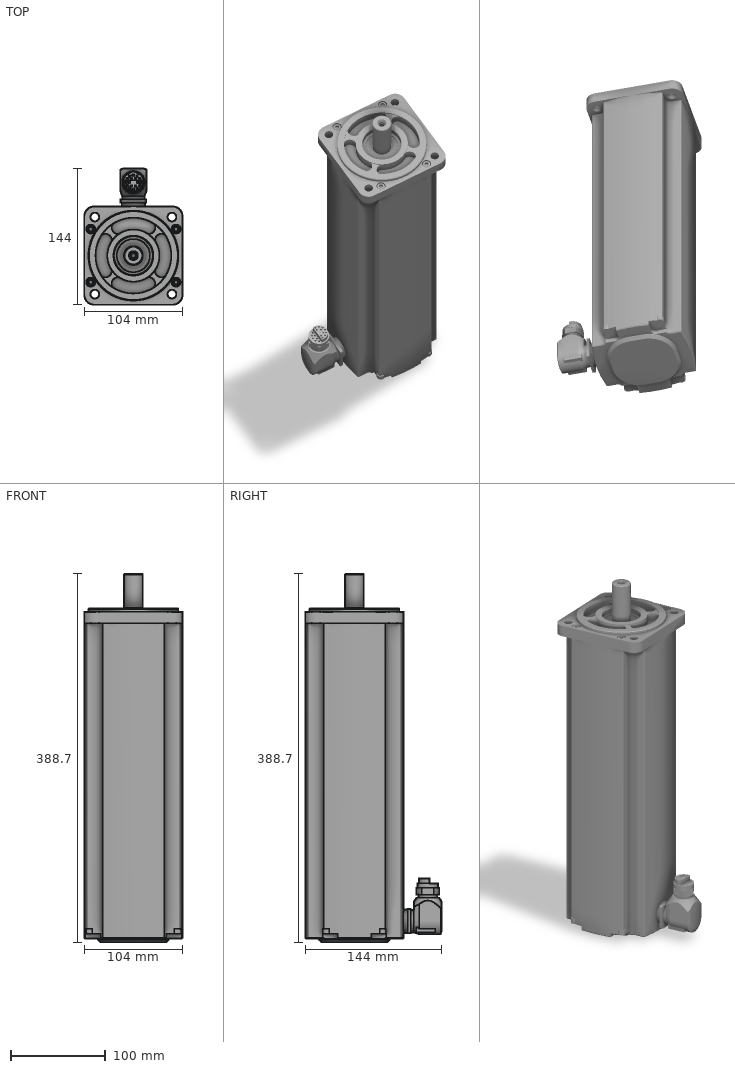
import cadquery as cq
import math

SHAFT_D = 20.0
SHAFT_TOP = 40.0
SHAFT_CHAMFER = 0.7
SHAFT_NECK_D = 19.0
SHAFT_NECK_TOP = 4.5
CENTRE_HOLE_D = 5.1
CENTRE_HOLE_DEPTH = 16.0
CENTRE_SINK_D = 9.5
CENTRE_SINK_ANGLE = 60.0
CENTRE_RECESS_D = 6.4
CENTRE_RECESS_DEPTH = 5.0

FLANGE_SIDE = 104.0
FLANGE_T = 12.0
FLANGE_CORNER_R = 11.0
MOUNT_HOLE_D = 9.0
MOUNT_CIRCLE_D = 115.0
PILOT_D = 95.0
PILOT_H = 3.5
PILOT_CHAMFER = 0.7

POCKET_OUTER_R = 40.0
POCKET_INNER_R = 27.5
POCKET_DEPTH = 10.0
RIB_HALF_ANGLE = 15.0
RIB_NARROWING = 6.0
RIB_EMBED = 0.5
RIB_DROP = 1.0
BORE_D = 41.0
BORE_DEPTH = 6.0
BORE_CHAMFER = 0.6
SEAL_D = 35.0
SEAL_GROOVE_DEPTH = 1.0

OVERALL_LENGTH = 388.7
BODY_HALF = 51.95
BODY_END_CHAMFER = 1.0
LOBE_HALF = 32.3
LOBE_EDGE_R = 1.3
LOBE_EDGE = 48.5
NOTCH_R = 5.7
COVER_H = 4.0
COVER_SIDE = 75.0
COVER_CORNER_R = 30.0
COVER_CHAMFER = 3.0

SCREW_X = 45.0
SCREW_Y = 28.0
SCREW_BORE_D = 9.5
SCREW_BORE_DEPTH = 5.0
SCREW_HEAD_D = 8.5
SCREW_HEAD_H = 4.5
SCREW_SOCKET_D = 4.92
SCREW_SOCKET_DEPTH = 2.5
SCREW_HEAD_CHAMFER = 0.7
REAR_SCREW_X = 46.0
REAR_SCREW_Y = 29.0
REAR_HEAD_H = 5.4
RECESS_H = 5.0
RECESS_HALF = 10.4
RECESS_CORNER_R = 5.0

CONN_Z = -326.3
CONN_Y_END = 92.0
CONN_BODY_W = 27.8
CONN_BODY_Y0 = 62.7
CONN_BODY_TOP = -301.4
CONN_TAPER_LENGTH = 5.8
CONN_TAPER = 2.0
CONN_END_LENGTH = 3.5
CONN_END_TAPER = 1.2
COLLAR_CORNER_R = 1.5
CONN_COLLAR_W = 27.5
CONN_COLLAR_H = 26.0
CONN_COLLAR_Y = (56.0, 59.2)
CONN_BASE_D = 25.0
CONN_NECK_D = 24.0
CONE_TOP_R = 11.8
CONE_BASE_R = 21.0
CONE_SLOPE = 1.46
SIDE_BAR_W = 23.0
SIDE_BAR_Y = (65.0, 85.0)
SIDE_BAR_Z = (-338.0, -332.6)
PLUG_NECK_D = 20.0
NUT_Z = (-298.3, -291.2)
NUT_ACROSS_CORNERS = 24.4
SHELL_D = 21.95
SHELL_TOP = -286.4
INSERT_D = 19.0
INSERT_FLAT_Y = 79.4
INSERT_TOP = -281.2
PIN_HOLE_D = 1.99
PIN_HOLE_DEPTH = 4.0
PIN_RINGS = ((15.0, 12), (9.0, 6))

BODY_TOP = -FLANGE_T
RIB_TOP = PILOT_H - RIB_DROP
COVER_END = SHAFT_TOP - OVERALL_LENGTH
BODY_END = COVER_END + COVER_H
RECESS_TOP = BODY_END + RECESS_H
MOUNT_HALF_PITCH = MOUNT_CIRCLE_D / 2 / math.sqrt(2)
CONN_Y = (CONN_BODY_Y0 + CONN_Y_END) / 2


def four_points(x, y):
    return [(sx * x, sy * y) for sx in (-1, 1) for sy in (-1, 1)]


SCREW_POINTS = four_points(SCREW_X, SCREW_Y)
REAR_SCREW_POINTS = four_points(REAR_SCREW_X, REAR_SCREW_Y)
MOUNT_POINTS = four_points(MOUNT_HALF_PITCH, MOUNT_HALF_PITCH)


def cylinder(diameter, bottom, top, points=((0, 0),)):
    plane = cq.Workplane("XY").workplane(offset=bottom)
    return plane.pushPoints(list(points)).circle(diameter / 2).extrude(top - bottom)


def cylinder_along_y(diameter, start, end):
    plane = cq.Workplane("XZ", origin=(0, start, CONN_Z))
    return plane.circle(diameter / 2).extrude(start - end)


def block(x_range, y_range, z_range):
    size = [high - low for low, high in (x_range, y_range, z_range)]
    corner = (x_range[0], y_range[0], z_range[0])
    return cq.Workplane("XY").box(*size, centered=False).translate(corner)


def make_lobe_pair():
    """Bar with a bulged face at both X ends, running the full body length."""
    return (
        cq.Workplane("XY").workplane(offset=BODY_END)
        .moveTo(-LOBE_EDGE, -LOBE_HALF)
        .lineTo(LOBE_EDGE, -LOBE_HALF)
        .threePointArc((BODY_HALF, 0), (LOBE_EDGE, LOBE_HALF))
        .lineTo(-LOBE_EDGE, LOBE_HALF)
        .threePointArc((-BODY_HALF, 0), (-LOBE_EDGE, -LOBE_HALF))
        .close()
        .extrude(BODY_TOP - BODY_END)
    )


def make_body():
    """Cross of two bulged bars with rounded inner corners, plus the rear cover."""
    lobes_x = make_lobe_pair().edges("|Z").fillet(LOBE_EDGE_R)
    lobes_y = lobes_x.rotate((0, 0, 0), (0, 0, 1), 90)
    body = lobes_x.union(lobes_y)
    core_half = (LOBE_HALF + LOBE_EDGE) / 2
    core = cq.selectors.BoxSelector(
        (-core_half, -core_half, COVER_END), (core_half, core_half, 0)
    )
    body = body.edges("|Z").edges(core).fillet(NOTCH_R)
    body = body.faces("<Z").chamfer(BODY_END_CHAMFER)
    cover = (
        cq.Workplane("XY").workplane(offset=COVER_END)
        .rect(COVER_SIDE, COVER_SIDE).extrude(COVER_H)
        .edges("|Z").fillet(COVER_CORNER_R)
        .faces("<Z").chamfer(COVER_CHAMFER)
    )
    return body.union(cover)


def make_recesses():
    """Four rear corner recesses below the tie screws, open outward and downward."""
    recess = block(
        (SCREW_X - RECESS_HALF, FLANGE_SIDE / 2),
        (SCREW_Y - RECESS_HALF, FLANGE_SIDE / 2),
        (BODY_END, RECESS_TOP),
    )
    keep_out = block(
        (0, FLANGE_SIDE / 2),
        (SCREW_Y + RECESS_HALF, FLANGE_SIDE / 2),
        (BODY_END, RECESS_TOP),
    )
    recess = recess.edges("|Z and <X and <Y").fillet(RECESS_CORNER_R).cut(keep_out)
    pair = recess.union(recess.mirror("YZ"))
    return pair.union(pair.mirror("XZ"))


def make_rear_heads():
    """Screw heads bulging from the bar corners just above the recesses."""
    return cylinder(SCREW_HEAD_D, RECESS_TOP, RECESS_TOP + REAR_HEAD_H, REAR_SCREW_POINTS)


def make_ring_groove():
    """Full annular groove in the pilot face, later divided by the ribs."""
    floor = PILOT_H - POCKET_DEPTH
    groove = cylinder(2 * POCKET_OUTER_R, floor, PILOT_H)
    return groove.cut(cylinder(2 * POCKET_INNER_R, floor, PILOT_H))


def make_rib():
    """Rib centred on +X with hollow round sides, its ends sunk into the groove walls."""
    outer_r = POCKET_OUTER_R + RIB_EMBED
    inner_r = POCKET_INNER_R - RIB_EMBED
    waist_r = (outer_r + inner_r) / 2
    half = math.radians(RIB_HALF_ANGLE)

    def at(radius, side):
        return (radius * math.cos(half), side * radius * math.sin(half))

    waist_x, waist_y = at(waist_r, 1)
    waist_x += RIB_NARROWING * math.sin(half)
    waist_y -= RIB_NARROWING * math.cos(half)
    floor = PILOT_H - POCKET_DEPTH
    return (
        cq.Workplane("XY").workplane(offset=floor)
        .moveTo(*at(outer_r, -1))
        .threePointArc((outer_r, 0), at(outer_r, 1))
        .threePointArc((waist_x, waist_y), at(inner_r, 1))
        .threePointArc((inner_r, 0), at(inner_r, -1))
        .threePointArc((waist_x, -waist_y), at(outer_r, -1))
        .close()
        .extrude(RIB_TOP - floor)
    )


def make_flange():
    """Square flange with pilot, ring pockets, bore, mounting holes and tie screws."""
    flange = (
        cq.Workplane("XY").workplane(offset=-FLANGE_T)
        .rect(FLANGE_SIDE, FLANGE_SIDE).extrude(FLANGE_T)
        .edges("|Z").fillet(FLANGE_CORNER_R)
    )
    pilot = cylinder(PILOT_D, 0, PILOT_H).faces(">Z").chamfer(PILOT_CHAMFER)
    flange = flange.union(pilot)
    flange = flange.cut(make_ring_groove())
    for diagonal in (45, 135, 225, 315):
        flange = flange.union(make_rib().rotate((0, 0, 0), (0, 0, 1), diagonal))

    bore_floor = PILOT_H - BORE_DEPTH
    bore = cylinder(BORE_D, bore_floor, PILOT_H)
    mouth = (
        cq.Workplane("XY").workplane(offset=PILOT_H - BORE_CHAMFER).circle(BORE_D / 2)
        .workplane(offset=BORE_CHAMFER).circle(BORE_D / 2 + BORE_CHAMFER).loft()
    )
    seal_recess = cylinder(SEAL_D, bore_floor - SEAL_GROOVE_DEPTH, bore_floor)
    flange = flange.cut(bore).cut(mouth).cut(seal_recess)

    flange = flange.cut(cylinder(MOUNT_HOLE_D, -FLANGE_T, 0, MOUNT_POINTS))
    flange = flange.cut(cylinder(SCREW_BORE_D, -SCREW_BORE_DEPTH, PILOT_H, SCREW_POINTS))
    head_top = SCREW_HEAD_H - SCREW_BORE_DEPTH
    heads = cylinder(SCREW_HEAD_D, -SCREW_BORE_DEPTH, head_top, SCREW_POINTS)
    heads = heads.faces(">Z").chamfer(SCREW_HEAD_CHAMFER)
    sockets = (
        cq.Workplane("XY").workplane(offset=head_top).pushPoints(SCREW_POINTS)
        .polygon(6, SCREW_SOCKET_D).extrude(-SCREW_SOCKET_DEPTH)
    )
    return flange.union(heads.cut(sockets))


def make_shaft():
    shaft = cylinder(SHAFT_NECK_D, BODY_TOP, SHAFT_NECK_TOP)
    shaft = shaft.union(cylinder(SHAFT_D, SHAFT_NECK_TOP, SHAFT_TOP))
    shaft = shaft.faces(">Z").chamfer(SHAFT_CHAMFER)
    recess = cylinder(CENTRE_RECESS_D, SHAFT_TOP - CENTRE_RECESS_DEPTH, SHAFT_TOP)
    return shaft.faces(">Z").workplane().cskHole(
        CENTRE_HOLE_D, CENTRE_SINK_D, CENTRE_SINK_ANGLE, CENTRE_HOLE_DEPTH
    ).cut(recess)


def make_connector_body():
    """Elbow housing: flat sides above, half-round below, tapered ends, coned toward the plug."""
    half_w = CONN_BODY_W / 2
    housing = (
        cq.Workplane("XZ", origin=(0, CONN_Y_END, 0))
        .moveTo(-half_w, CONN_BODY_TOP)
        .lineTo(-half_w, CONN_Z)
        .threePointArc((0, CONN_Z - half_w), (half_w, CONN_Z))
        .lineTo(half_w, CONN_BODY_TOP)
        .close()
        .extrude(CONN_Y_END - CONN_BODY_Y0)
    )
    housing = housing.faces("<Y").edges("not >Z").chamfer(CONN_TAPER_LENGTH, CONN_TAPER)
    housing = housing.faces(">Y").edges("not >Z").chamfer(CONN_END_LENGTH, CONN_END_TAPER)
    cone_drop = (CONE_BASE_R - CONE_TOP_R) * CONE_SLOPE
    bottom = CONN_Z - CONN_BODY_W
    cone = (
        cq.Workplane("XZ")
        .moveTo(0, CONN_BODY_TOP)
        .lineTo(CONE_TOP_R, CONN_BODY_TOP)
        .lineTo(CONE_BASE_R, CONN_BODY_TOP - cone_drop)
        .lineTo(CONE_BASE_R, bottom)
        .lineTo(0, bottom)
        .close()
        .revolve()
        .translate((0, CONN_Y, 0))
    )
    housing = housing.intersect(cone)
    return housing.union(block((-SIDE_BAR_W / 2, SIDE_BAR_W / 2), SIDE_BAR_Y, SIDE_BAR_Z))


def make_connector_base():
    """Collar and round necks joining the elbow to the motor body."""
    base = cylinder_along_y(CONN_BASE_D, LOBE_EDGE, CONN_COLLAR_Y[0])
    collar = block(
        (-CONN_COLLAR_W / 2, CONN_COLLAR_W / 2),
        CONN_COLLAR_Y,
        (CONN_Z - CONN_COLLAR_H / 2, CONN_Z + CONN_COLLAR_H / 2),
    )
    collar = collar.edges("|Y").fillet(COLLAR_CORNER_R)
    neck = cylinder_along_y(CONN_NECK_D, CONN_COLLAR_Y[1], CONN_BODY_Y0)
    return base.union(collar).union(neck)


def make_plug():
    """Upright plug: neck, hexagon nut, round shell and flatted insert with pin holes."""
    axis = [(0, CONN_Y)]
    plug = cylinder(PLUG_NECK_D, CONN_BODY_TOP, NUT_Z[0], axis)
    nut = (
        cq.Workplane("XY", origin=(0, CONN_Y, NUT_Z[0]))
        .polygon(6, NUT_ACROSS_CORNERS).extrude(NUT_Z[1] - NUT_Z[0])
        .rotate((0, CONN_Y, 0), (0, CONN_Y, 1), 90)
    )
    shell = cylinder(SHELL_D, NUT_Z[1], SHELL_TOP, axis)
    insert = cylinder(INSERT_D, SHELL_TOP, INSERT_TOP, axis)
    insert = insert.cut(
        block((-INSERT_D, INSERT_D), (INSERT_FLAT_Y, CONN_Y_END), (SHELL_TOP, INSERT_TOP))
    )
    plug = plug.union(nut).union(shell).union(insert)
    for ring_d, count in PIN_RINGS:
        holes = (
            cq.Workplane("XY", origin=(0, CONN_Y, SHELL_TOP - PIN_HOLE_DEPTH))
            .polarArray(ring_d / 2, 0, 360, count)
            .circle(PIN_HOLE_D / 2).extrude(INSERT_TOP - SHELL_TOP + PIN_HOLE_DEPTH)
        )
        plug = plug.cut(holes)
    return plug


result = (
    make_body()
    .cut(make_recesses())
    .union(make_rear_heads())
    .union(make_flange())
    .union(make_shaft())
    .union(make_connector_base())
    .union(make_connector_body())
    .union(make_plug())
)